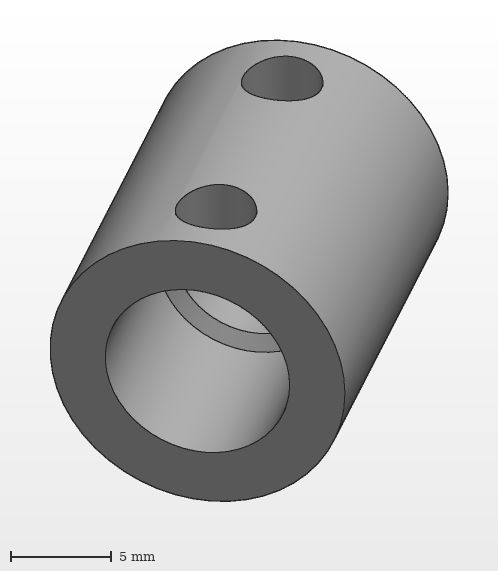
import cadquery as cq
import math

length = 19.05
outer_diameter = 15.24
front_bore_diameter = 9.52
back_bore_diameter = 7.92
front_bore_depth = length / 2
shoulder_cone_angle = 118.0
hole_diameter = 4.05
hole_end_distance = 3.43

hole_offset = length / 2 - hole_end_distance
bore_step = (front_bore_diameter - back_bore_diameter) / 2
shoulder_length = bore_step / math.tan(math.radians(shoulder_cone_angle / 2))


def make_sleeve():
    """Revolve the wall section, with its conical bore shoulder, about the Y axis."""
    front = -length / 2
    back = length / 2
    shoulder_start = front + front_bore_depth
    wall_section = [
        (front_bore_diameter / 2, front),
        (outer_diameter / 2, front),
        (outer_diameter / 2, back),
        (back_bore_diameter / 2, back),
        (back_bore_diameter / 2, shoulder_start + shoulder_length),
        (front_bore_diameter / 2, shoulder_start),
    ]
    return cq.Workplane("XY").polyline(wall_section).close().revolve(360, (0, 0), (0, 1))


def make_radial_holes():
    """Vertical cylinders from the axis up through the top wall."""
    centres = [(0, -hole_offset), (0, hole_offset)]
    return cq.Workplane("XY").pushPoints(centres).circle(hole_diameter / 2).extrude(outer_diameter)


result = make_sleeve().cut(make_radial_holes())